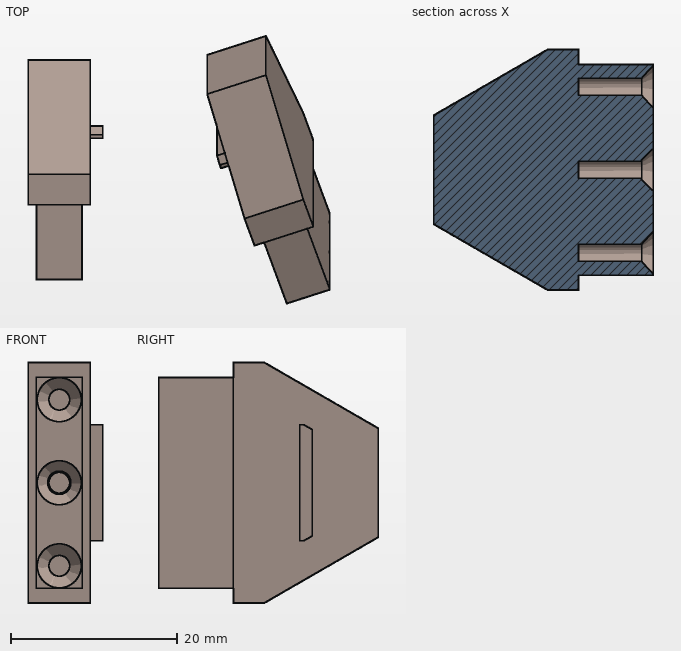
import cadquery as cq
import math

body_width = 7.5
body_height = 29.0
body_length = 17.45
straight_length = 3.7
taper_angle = math.radians(30)
taper_slope = math.tan(taper_angle)

tongue_width = 5.5
tongue_height = 25.4
tongue_length = 9.0
tongue_left = 1.0

hole_x = body_width / 2
hole_pitch = 10.0
hole_diameter = 2.5
hole_depth = tongue_length
middle_ledge_diameter = 2.8
sink_diameter = 5.3
sink_depth = 1.4

rib_projection = 1.5
rib_thickness = 1.5
rib_height = 14.0
rib_flat = 0.45
rib_setback = 8.0

body_front = tongue_length


def tapered_plate(x_start, width, y_front, flat, length, height):
    """Plate along X, full height over its front flat, then tapering to its back."""
    half_front = height / 2
    half_back = half_front - (length - flat) * taper_slope
    y_taper = y_front + flat
    y_back = y_front + length
    outline = [
        (y_front, -half_front),
        (y_taper, -half_front),
        (y_back, -half_back),
        (y_back, half_back),
        (y_taper, half_front),
        (y_front, half_front),
    ]
    return cq.Workplane("YZ", origin=(x_start, 0, 0)).polyline(outline).close().extrude(width)


def tongue():
    """Rectangular block reaching from the tip at Y = 0 to the body."""
    block = cq.Workplane("XY").box(
        tongue_width, tongue_length, tongue_height, centered=(False, False, True)
    )
    return block.translate((tongue_left, 0, 0))


def countersunk_hole(z, cone_end_diameter):
    """Cutter with a conical mouth; a cone ending wider than the hole leaves a flat ledge."""
    cone_end_radius = cone_end_diameter / 2
    hole_radius = hole_diameter / 2
    profile = [
        (0, 0),
        (sink_diameter / 2, 0),
        (cone_end_radius, sink_depth),
    ]
    if cone_end_diameter > hole_diameter:
        profile.append((hole_radius, sink_depth))
    profile += [(hole_radius, hole_depth), (0, hole_depth)]
    cutter = cq.Workplane("XY").polyline(profile).close().revolve(360, (0, 0, 0), (0, 1, 0))
    return cutter.translate((hole_x, 0, z))


def body():
    """Main plate, from the root of the tongue to the tapered back."""
    return tapered_plate(0, body_width, body_front, straight_length, body_length, body_height)


def rib():
    """Small upright rib on the right face, its ends tapered like the body."""
    rib_front = body_front + rib_setback
    return tapered_plate(body_width, rib_projection, rib_front, rib_flat, rib_thickness, rib_height)


result = body().union(tongue()).union(rib())
for z in (-hole_pitch, hole_pitch):
    result = result.cut(countersunk_hole(z, hole_diameter))
result = result.cut(countersunk_hole(0, middle_ledge_diameter))